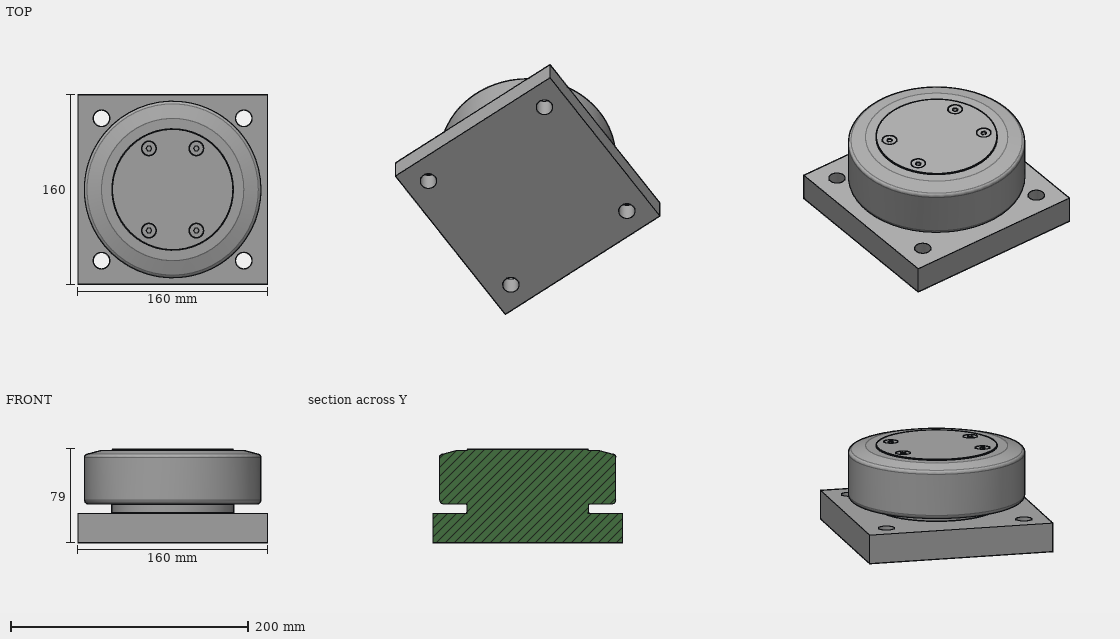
import cadquery as cq
import math

plate_side = 160.0
plate_thickness = 25.0
mount_hole_diameter = 13.8
mount_hole_spacing = 120.0

neck_diameter = 103.0
neck_chamfer = 0.5
ring_diameter = 149.0
ring_bottom = 32.6
ring_top = 78.0
ring_flat_diameter = 120.0
ring_cone_angle = 15.0
ring_top_edge_radius = 3.0
ring_bottom_edge_radius = 3.5

cap_top = 79.0
cap_diameter = 102.5
cap_face_diameter = 101.5
cap_chamfer = (cap_diameter - cap_face_diameter) / 2

screw_circle_radius = 40.0
screw_angles = (60, 120, 240, 300)
recess_diameter = 12.5
recess_depth = 6.4
head_diameter = 11.7
head_drop = 0.2
socket_across_corners = 4.6
socket_depth = 1.0


def disc(diameter, bottom, top):
    return cq.Workplane("XY").workplane(offset=bottom).circle(diameter / 2).extrude(top - bottom)


def make_plate():
    plate = cq.Workplane("XY").box(plate_side, plate_side, plate_thickness, centered=(True, True, False))
    return (
        plate.faces(">Z").workplane()
        .rect(mount_hole_spacing, mount_hole_spacing, forConstruction=True)
        .vertices().hole(mount_hole_diameter)
    )


def make_ring():
    outer_radius = ring_diameter / 2
    flat_radius = ring_flat_diameter / 2
    cone_drop = (outer_radius - flat_radius) * math.tan(math.radians(ring_cone_angle))
    profile = (
        cq.Workplane("XZ")
        .moveTo(0, ring_bottom)
        .lineTo(outer_radius, ring_bottom)
        .lineTo(outer_radius, ring_top - cone_drop)
        .lineTo(flat_radius, ring_top)
        .lineTo(0, ring_top)
        .close()
    )
    ring = profile.revolve(360, (0, 0, 0), (0, 1, 0))
    ring = ring.faces("%CONE").edges("<Z").fillet(ring_top_edge_radius)
    return ring.faces("<Z").edges().fillet(ring_bottom_edge_radius)


def add_screws(body):
    recess_floor = cap_top - recess_depth
    head_top = cap_top - head_drop
    for angle in screw_angles:
        x = screw_circle_radius * math.cos(math.radians(angle))
        y = screw_circle_radius * math.sin(math.radians(angle))
        recess = disc(recess_diameter, recess_floor, cap_top)
        head = disc(head_diameter, recess_floor, head_top)
        socket = (
            cq.Workplane("XY").workplane(offset=head_top - socket_depth)
            .polygon(6, socket_across_corners).extrude(socket_depth)
        )
        body = body.cut(recess.cut(head).translate((x, y, 0)))
        body = body.cut(disc(head_diameter, head_top, cap_top).translate((x, y, 0)))
        body = body.cut(socket.translate((x, y, 0)))
    return body


neck = disc(neck_diameter, plate_thickness, ring_bottom).edges("%CIRCLE").chamfer(neck_chamfer)
cap = disc(cap_diameter, ring_top, cap_top).faces(">Z").chamfer(cap_chamfer)

result = add_screws(make_plate().union(neck).union(make_ring()).union(cap))